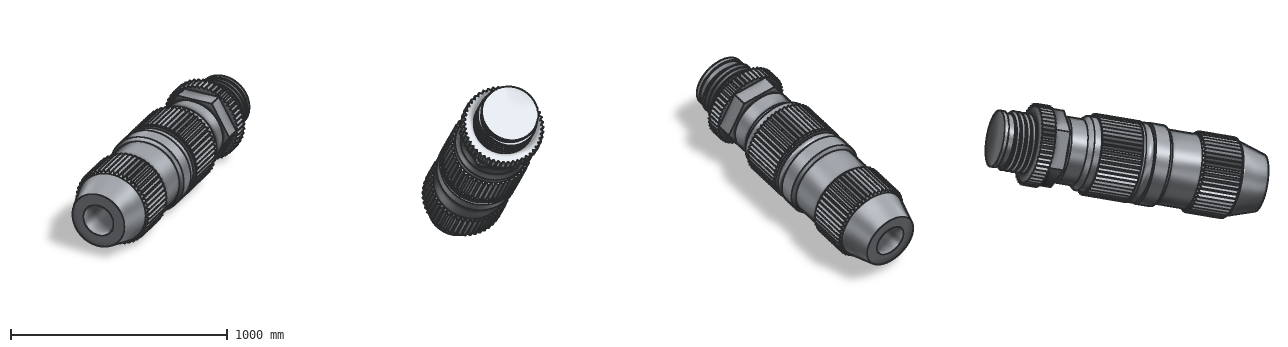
import cadquery as cq
import math


outer_radius = 190.0
body_radius = 175.0
shoulder_radius = 155.0
neck_radius = 117.0
plug_radius = 125.0
plug_rim_radius = 132.0
nose_radius = 135.0
bore_radius = 78.0

nose_end = 130.0
cap_start = 137.0
cap_end = 341.0
band_start = 501.0
groove_start = 573.0
groove_end = 620.0
grip_rim_end = 633.0
grip_end = 834.0
cone_start = 869.0
cone_end = 895.0
shoulder_end = 982.0
hex_start = 990.0
nut_start = 1064.0
nut_end = 1130.0
thread_end = 1244.0
plug_rim_start = 1275.0
total_length = 1295.0

edge_chamfer = outer_radius - body_radius
shoulder_chamfer = 8.0
bore_depth = cap_end

tooth_count = 49
tooth_root_radius = 177.0

hex_across_flats = 2 * shoulder_radius

groove_radius = 167.0
ring_section_radius = 23.0
ring_outer_radius = 188.0

thread_pitch = 26.0
thread_crest_radius = 140.0
thread_crest_width = 4.0
thread_base_width = 25.0
thread_embed = 3.0
thread_sweep_start = 1105.0
thread_turns = 6


def revolve_outline(points):
    """Revolve an outline of (radius, Y) points about the Y axis."""
    return cq.Workplane("XY").polyline(points).close().revolve(360, (0, 0, 0), (0, 1, 0))


def section_plane(y):
    """Plane across the axis at Y = y, with local x, y along X, Z."""
    return cq.Workplane("XZ", origin=(0, y, 0))


def knurl(y_start, y_end):
    """Star-shaped disc whose teeth run along Y."""
    points = []
    for index in range(2 * tooth_count):
        radius = outer_radius if index % 2 == 0 else tooth_root_radius
        angle = math.pi / 2 + index * math.pi / tooth_count
        points.append((radius * math.cos(angle), radius * math.sin(angle)))
    return section_plane(y_start).polyline(points).close().extrude(y_start - y_end)


def make_barrel():
    """Smooth turned core, from the cable nose to the plug rim."""
    return revolve_outline([
        (0, 0),
        (nose_radius, 0),
        (body_radius, nose_end),
        (body_radius, band_start - edge_chamfer),
        (outer_radius, band_start),
        (outer_radius, groove_start),
        (groove_radius, groove_start),
        (groove_radius, groove_end),
        (outer_radius, groove_end),
        (outer_radius, grip_rim_end),
        (body_radius, grip_rim_end),
        (body_radius, cone_start),
        (shoulder_radius, cone_end),
        (shoulder_radius, shoulder_end - shoulder_chamfer),
        (shoulder_radius - shoulder_chamfer, shoulder_end),
        (neck_radius, shoulder_end),
        (neck_radius, hex_start),
        (plug_radius, hex_start),
        (plug_radius, plug_rim_start),
        (plug_rim_radius, plug_rim_start),
        (plug_rim_radius, total_length),
        (0, total_length),
    ])


def make_cap_knurl():
    """Knurled cable cap with both ends chamfered down to the barrel."""
    envelope = revolve_outline([
        (0, cap_start),
        (body_radius, cap_start),
        (outer_radius, cap_start + edge_chamfer),
        (outer_radius, cap_end - edge_chamfer),
        (body_radius, cap_end),
        (0, cap_end),
    ])
    return knurl(cap_start, cap_end).intersect(envelope)


def make_hexagon():
    across_corners = hex_across_flats / math.cos(math.pi / 6)
    return section_plane(hex_start).polygon(6, across_corners).extrude(hex_start - nut_start)


def make_o_ring():
    """Outer half of the ring; the rest is buried in the groove floor."""
    ring_radius = ring_outer_radius - ring_section_radius
    ring_y = (groove_start + groove_end) / 2
    section = (
        cq.Workplane("XY")
        .moveTo(ring_radius, ring_y - ring_section_radius)
        .threePointArc((ring_outer_radius, ring_y), (ring_radius, ring_y + ring_section_radius))
        .close()
    )
    return section.revolve(360, (0, 0, 0), (0, 1, 0))


def make_thread():
    """Helical ridge on the plug tube, trimmed flat between the nut and the plug neck."""
    helix = cq.Wire.makeHelix(thread_pitch, thread_turns * thread_pitch, plug_radius)
    base_radius = plug_radius - thread_embed
    ridge = (
        cq.Workplane("XZ")
        .polyline([
            (base_radius, -thread_base_width / 2),
            (thread_crest_radius, -thread_crest_width / 2),
            (thread_crest_radius, thread_crest_width / 2),
            (base_radius, thread_base_width / 2),
        ])
        .close()
        .sweep(cq.Workplane(helix), isFrenet=True)
        .rotate((0, 0, 0), (1, 0, 0), -90)
        .translate((0, thread_sweep_start, 0))
    )
    trim = section_plane(nut_start).circle(outer_radius).extrude(nut_start - thread_end)
    return ridge.intersect(trim)


bore = section_plane(0).circle(bore_radius).extrude(-bore_depth)

result = (
    make_barrel()
    .union(make_cap_knurl())
    .union(knurl(grip_rim_end, grip_end))
    .union(make_o_ring())
    .union(make_hexagon())
    .union(make_thread())
    .union(knurl(nut_start, nut_end))
    .cut(bore)
)